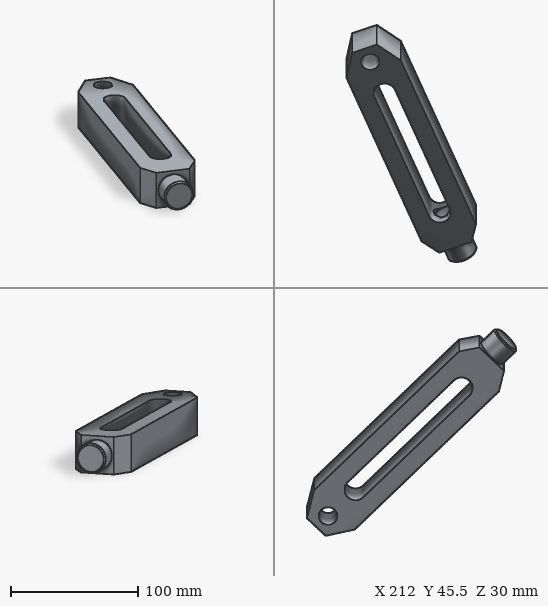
import cadquery as cq

total_length = 212.0
block_length = 195.7
block_width = 45.5
block_height = 30.0

front_left_cut = (20.5, 12.3)
back_left_cut = (19.7, 12.5)
front_right_cut = (13.5, 9.1)
back_right_cut = (14.8, 9.1)

pivot_hole_diameter = 14.5
pivot_hole_x = 13.0
slot_start_x = 35.0
slot_end_x = 170.7
slot_width = 17.4

stub_diameter = 24.0
stub_edge_chamfer = 1.3

recess_diameter = 14.5
recess_depth = 0.2


def make_block():
    """Bar with its four vertical corners cut off at an angle."""
    half_width = block_width / 2
    outline = [
        (front_left_cut[0], -half_width),
        (block_length - front_right_cut[0], -half_width),
        (block_length, -half_width + front_right_cut[1]),
        (block_length, half_width - back_right_cut[1]),
        (block_length - back_right_cut[0], half_width),
        (back_left_cut[0], half_width),
        (0, half_width - back_left_cut[1]),
        (0, -half_width + front_left_cut[1]),
    ]
    return cq.Workplane("XY").polyline(outline).close().extrude(block_height / 2, both=True)


def make_pivot_hole():
    hole = cq.Workplane("XY").center(pivot_hole_x, 0).circle(pivot_hole_diameter / 2)
    return hole.extrude(block_height / 2, both=True)


def make_slot():
    slot_length = slot_end_x - slot_start_x
    slot_center_x = (slot_start_x + slot_end_x) / 2
    slot = cq.Workplane("XY").center(slot_center_x, 0).slot2D(slot_length, slot_width)
    return slot.extrude(block_height / 2, both=True)


def make_stub():
    """Cylinder along X with a chamfered free end."""
    stub = cq.Workplane("YZ", origin=(block_length, 0, 0)).circle(stub_diameter / 2)
    stub = stub.extrude(total_length - block_length)
    return stub.faces(">X").chamfer(stub_edge_chamfer)


def make_recess():
    """Flat-bottomed axial recess entering the slot's round +X end."""
    recess_start_x = slot_end_x - slot_width / 2
    recess = cq.Workplane("YZ", origin=(recess_start_x, 0, 0)).circle(recess_diameter / 2)
    return recess.extrude(slot_end_x + recess_depth - recess_start_x)


result = make_block().union(make_stub())
result = result.cut(make_pivot_hole()).cut(make_slot()).cut(make_recess())